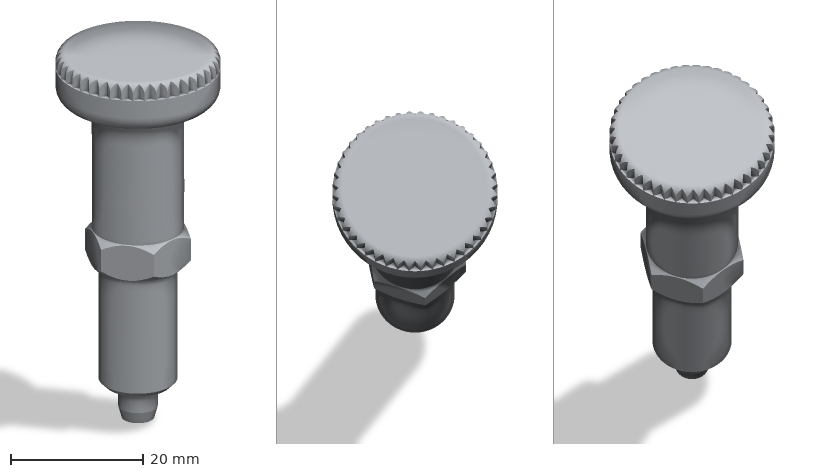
import cadquery as cq
import math


shank_diameter = 12.0
shank_length = 20.0
shank_chamfer = 0.9
hex_across_flats = 14.2
hex_end_diameter = 14.0
hex_height = 6.0
collar_height = 6.5

pin_diameter = 6.0
pin_projection = 6.0
pin_tip_length = 2.3
pin_tip_dome = 0.4
pin_tip_radius = 2.5

knob_diameter = 25.0
knob_height = 8.0
knob_top_round = 1.5
knob_bottom_round = 2.5
neck_diameter = 14.0
neck_length = 14.5
neck_round = 1.0

tongue_width = 5.0
tongue_length = 6.1

knurl_height = 2.5
notch_count = 44
notch_floor_radius = 11.6
notch_angle = 90.0
notch_overreach = 0.5

collar_top = hex_height + collar_height
knob_bottom = collar_top + neck_length
knob_top = knob_bottom + knob_height
shank_bottom = -shank_length
pin_bottom = shank_bottom - pin_projection


def cylinder(diameter, bottom, top):
    return cq.Workplane("XY").workplane(offset=bottom).circle(diameter / 2).extrude(top - bottom)


def make_tongue():
    """Slice of the neck cylinder, reaching from the axis out to the -Y side."""
    bottom = collar_top - tongue_length
    bar = (
        cq.Workplane("XY")
        .workplane(offset=bottom)
        .center(0, -neck_diameter / 2)
        .rect(tongue_width, neck_diameter)
        .extrude(tongue_length)
    )
    return bar.intersect(cylinder(neck_diameter, bottom, collar_top))


def make_hexagon():
    """Hexagon with corners on the X axis, its corners turned off at 45 degrees at both ends."""
    hex_across_corners = hex_across_flats / math.cos(math.pi / 6)
    corner_chamfer = (hex_across_corners - hex_end_diameter) / 2
    prism = cq.Workplane("XY").polygon(6, hex_across_corners).extrude(hex_height)
    turned_blank = cylinder(hex_across_corners, 0, hex_height).edges().chamfer(corner_chamfer)
    return prism.intersect(turned_blank)


def make_sleeve():
    shank = cylinder(shank_diameter, shank_bottom, 0).faces("<Z").edges().chamfer(shank_chamfer)
    collar = cylinder(neck_diameter, hex_height, collar_top)
    bore = cylinder(pin_diameter, shank_bottom, collar_top)
    return shank.union(make_hexagon()).union(collar).cut(bore).cut(make_tongue())


def make_turned_knob():
    """Knob, neck and pin as one turned shape."""
    knob_radius = knob_diameter / 2
    neck_radius = neck_diameter / 2
    pin_radius = pin_diameter / 2
    pin_end_edge = pin_bottom + pin_tip_dome
    dome_radius = (pin_tip_radius**2 + pin_tip_dome**2) / (2 * pin_tip_dome)
    dome_mid_radius = pin_tip_radius / 2
    dome_mid_level = pin_bottom + dome_radius - math.sqrt(dome_radius**2 - dome_mid_radius**2)
    profile = (
        cq.Workplane("XZ")
        .moveTo(0, pin_bottom)
        .threePointArc((dome_mid_radius, dome_mid_level), (pin_tip_radius, pin_end_edge))
        .lineTo(pin_radius, pin_bottom + pin_tip_length)
        .lineTo(pin_radius, collar_top)
        .lineTo(neck_radius, collar_top)
        .lineTo(neck_radius, knob_bottom - neck_round)
        .radiusArc((neck_radius + neck_round, knob_bottom), neck_round)
        .lineTo(knob_radius - knob_bottom_round, knob_bottom)
        .radiusArc((knob_radius, knob_bottom + knob_bottom_round), -knob_bottom_round)
        .lineTo(knob_radius, knob_top - knob_top_round)
        .radiusArc((knob_radius - knob_top_round, knob_top), -knob_top_round)
        .lineTo(0, knob_top)
        .close()
    )
    return profile.revolve(360, (0, 0, 0), (0, 1, 0))


def make_knurl_notches():
    """Ring of V notches, open at the rim and at the top face of the knob."""
    reach = knob_diameter / 2 - notch_floor_radius + notch_overreach
    half_width = reach * math.tan(math.radians(notch_angle / 2))
    notch = (
        cq.Workplane("XY")
        .workplane(offset=knob_top - knurl_height)
        .moveTo(notch_floor_radius, 0)
        .lineTo(notch_floor_radius + reach, -half_width)
        .lineTo(notch_floor_radius + reach, half_width)
        .close()
        .extrude(knurl_height)
        .val()
    )
    axis_start = cq.Vector(0, 0, 0)
    axis_end = cq.Vector(0, 0, 1)
    return [notch.rotate(axis_start, axis_end, i * 360 / notch_count) for i in range(notch_count)]


def make_knob():
    turned = make_turned_knob().union(make_tongue())
    return cq.Workplane(turned.val().cut(*make_knurl_notches()))


sleeve = make_sleeve()
knob = make_knob()

result = cq.Compound.makeCompound([*sleeve.solids().vals(), *knob.solids().vals()])